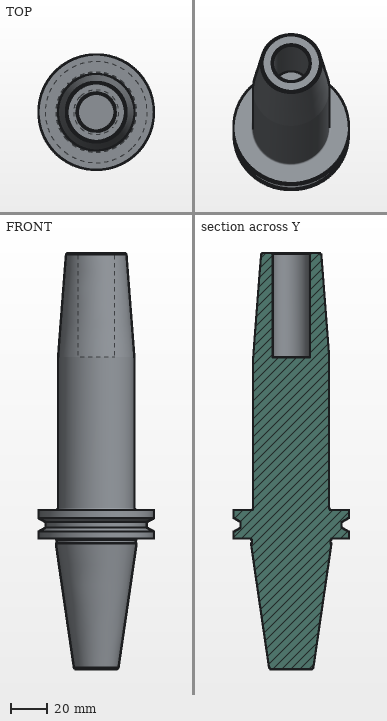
import cadquery as cq
import math

total_height = 228.5
shank_height = 68.5
flange_bottom = 71.7
flange_top = 87.5
nose_height = 57.0

gauge_radius = 22.2
taper_ratio = 7 / 24
shank_end_chamfer = 1.0
shank_end_radius = gauge_radius - shank_height * taper_ratio / 2

relief_depth = 0.35
relief_land = 0.5
relief_bottom = shank_height + relief_land
relief_top = flange_bottom - relief_land

flange_radius = 31.7
groove_floor_radius = 27.9
groove_floor_width = 3.0
groove_center = 79.3
groove_half_angle = math.radians(30)

body_radius = 21.0
body_base_fillet = 1.0
nose_tip_radius = 16.7
nose_chamfer = 1.0

bore_radius = 10.0
bore_depth = nose_height
bore_chamfer = 0.7


def make_holder():
    """Revolve the outer profile, given as (radius, height), about Z."""
    fillet_mid_offset = body_base_fillet * (1 - math.sqrt(0.5))
    outline = (
        cq.Workplane("XZ")
        .moveTo(0, 0)
        .lineTo(shank_end_radius - shank_end_chamfer, 0)
        .lineTo(shank_end_radius + shank_end_chamfer * taper_ratio / 2, shank_end_chamfer)
        .lineTo(gauge_radius, shank_height)
        .lineTo(gauge_radius, relief_bottom)
        .lineTo(gauge_radius - relief_depth, relief_bottom + relief_depth)
        .lineTo(gauge_radius - relief_depth, relief_top - relief_depth)
        .lineTo(gauge_radius, relief_top)
        .lineTo(gauge_radius, flange_bottom)
        .lineTo(flange_radius, flange_bottom)
        .lineTo(flange_radius, flange_top)
        .lineTo(body_radius + body_base_fillet, flange_top)
        .threePointArc(
            (body_radius + fillet_mid_offset, flange_top + fillet_mid_offset),
            (body_radius, flange_top + body_base_fillet),
        )
        .lineTo(body_radius, total_height - nose_height)
        .lineTo(nose_tip_radius, total_height - nose_chamfer)
        .lineTo(nose_tip_radius - nose_chamfer, total_height)
        .lineTo(0, total_height)
        .close()
    )
    return outline.revolve(360, (0, 0, 0), (0, 1, 0))


def make_flange_groove():
    """V groove ring: flat floor and walls that open towards the rim."""
    floor_half = groove_floor_width / 2
    wall_rise = (flange_radius - groove_floor_radius) * math.tan(groove_half_angle)
    mouth_half = floor_half + wall_rise
    return (
        cq.Workplane("XZ")
        .polyline([
            (groove_floor_radius, groove_center - floor_half),
            (flange_radius, groove_center - mouth_half),
            (flange_radius, groove_center + mouth_half),
            (groove_floor_radius, groove_center + floor_half),
        ])
        .close()
        .revolve(360, (0, 0, 0), (0, 1, 0))
    )


def make_bore():
    """Blind bore with a 45 degree lead-in at the nose face."""
    mouth_radius = bore_radius + bore_chamfer
    return (
        cq.Workplane("XZ")
        .polyline([
            (0, total_height - bore_depth),
            (bore_radius, total_height - bore_depth),
            (bore_radius, total_height - bore_chamfer),
            (mouth_radius, total_height),
            (0, total_height),
        ])
        .close()
        .revolve(360, (0, 0, 0), (0, 1, 0))
    )


result = make_holder().cut(make_flange_groove()).cut(make_bore())